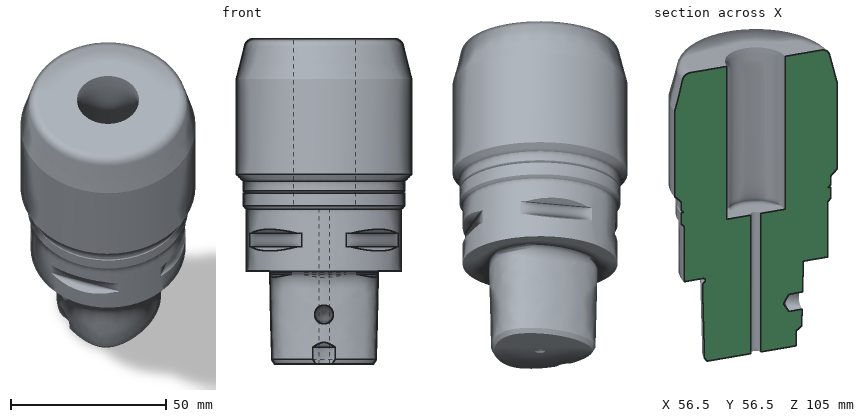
import cadquery as cq
import math

total_height = 105.0
flange_bottom = 30.0
flange_top = 50.0

flange_radius = 25.0
ring_radius = 26.0
nut_radius = 28.25

ring_top = 55.1
nut_collar_bevel = 0.8
nut_shoulder_bottom = 59.0
nose_bottom = 92.0
nose_half_angle = 14.0
nose_fillet = 3.0

clamping_bore_diameter = 20.0
clamping_bore_depth = 55.0
coolant_hole_diameter = 3.3

slot_count = 4
slot_first_angle = 45.0
slot_center_height = 40.0
slot_floor_height = 4.4
slot_mouth_height = 7.0
slot_floor_distance = 22.0
slot_bevel_angle = 30.0

shank_radius = 17.5
lobe_eccentricity = 1.05
shank_straight_bottom = 27.1
shank_taper_per_side = 1 / 40
shank_chamfer_height = 1.5
shank_chamfer_width = 0.9
outline_point_count = 48
flat_side_angle = -90.0

relief_radius = 17.6
relief_floor_bottom = 29.0
relief_floor_top = 29.6

side_hole_diameter = 6.0
side_hole_height = 16.0
side_hole_depth = 5.0

key_radius = 4.9
key_height = 5.4
key_axis_offset = 3.0
key_tip_half_angle = 50.0
drill_tip_half_angle = 59.0

flat_side_distance = shank_radius - lobe_eccentricity


def turned(profile, seam_angle):
    """Solid of revolution about Z from (radius, height) points, starting at seam_angle."""
    solid = cq.Workplane("XZ").polyline(profile).close().revolve(360, (0, 0), (0, 1))
    return solid.rotate((0, 0, 0), (0, 0, 1), seam_angle)


def make_flange():
    return turned(
        [(0, flange_bottom), (flange_radius, flange_bottom), (flange_radius, flange_top), (0, flange_top)],
        180,
    )


def make_nut():
    """Ring and nut above the flange, with a conical nose rounded at its rim."""
    ring_bevel = ring_radius - flange_radius
    shoulder = nut_radius - ring_radius
    nose_radius = nut_radius - (total_height - nose_bottom) * math.tan(math.radians(nose_half_angle))
    profile = [
        (0, flange_top),
        (flange_radius, flange_top),
        (ring_radius, flange_top + ring_bevel),
        (ring_radius, ring_top),
        (ring_radius - nut_collar_bevel, ring_top),
        (ring_radius, ring_top + nut_collar_bevel),
        (ring_radius, nut_shoulder_bottom),
        (nut_radius, nut_shoulder_bottom + shoulder),
        (nut_radius, nose_bottom),
        (nose_radius, total_height),
        (0, total_height),
    ]
    return turned(profile, flat_side_angle).faces(">Z").edges().fillet(nose_fillet)


def lobed_outline(radius, height):
    """Closed three-lobed wire of constant width 2 * radius at the given height."""
    points = []
    for i in range(outline_point_count):
        angle = math.radians(flat_side_angle) + 2 * math.pi * i / outline_point_count
        support = radius - lobe_eccentricity * math.sin(3 * angle)
        slope = -3 * lobe_eccentricity * math.cos(3 * angle)
        x = support * math.cos(angle) - slope * math.sin(angle)
        y = support * math.sin(angle) + slope * math.cos(angle)
        points.append(cq.Vector(x, y, height))
    return cq.Wire.assembleEdges([cq.Edge.makeSpline(points, periodic=True)])


def lobed_section(bottom_radius, bottom, top_radius, top):
    outlines = [lobed_outline(bottom_radius, bottom), lobed_outline(top_radius, top)]
    return cq.Workplane(cq.Solid.makeLoft(outlines, True))


def make_shank():
    taper_height = shank_straight_bottom - shank_chamfer_height
    chamfer_top_radius = shank_radius - taper_height * shank_taper_per_side
    end_radius = chamfer_top_radius - shank_chamfer_width
    chamfer = lobed_section(end_radius, 0, chamfer_top_radius, shank_chamfer_height)
    taper = lobed_section(chamfer_top_radius, shank_chamfer_height, shank_radius, shank_straight_bottom)
    neck = lobed_section(shank_radius, shank_straight_bottom, shank_radius, flange_bottom)
    return chamfer.union(taper).union(neck)


def relief_groove():
    outer_radius = shank_radius + 2 * lobe_eccentricity
    top_bevel = flange_bottom - relief_floor_top
    bottom_bevel = outer_radius - relief_radius
    profile = [
        (outer_radius, relief_floor_bottom - bottom_bevel),
        (relief_radius, relief_floor_bottom),
        (relief_radius, relief_floor_top),
        (relief_radius + top_bevel, flange_bottom),
        (outer_radius, flange_bottom),
    ]
    return turned(profile, flat_side_angle)


def spanner_slot(angle):
    """Flat-floored slot with straight walls whose outer stretches flare at the bevel angle."""
    half_floor = slot_floor_height / 2
    half_mouth = slot_mouth_height / 2
    bevel_depth = (half_mouth - half_floor) / math.tan(math.radians(slot_bevel_angle))
    bevel_start = flange_radius - bevel_depth
    half_profile = [
        (slot_floor_distance, half_floor),
        (bevel_start, half_floor),
        (flange_radius, half_mouth),
    ]
    upper = [(distance, slot_center_height + half) for distance, half in half_profile]
    lower = [(distance, slot_center_height - half) for distance, half in reversed(half_profile)]
    slot = cq.Workplane("XZ").polyline(upper + lower).close().extrude(flange_radius, both=True)
    return slot.rotate((0, 0, 0), (0, 0, 1), angle)


def pointed_cutter(radius, length, tip_half_angle):
    """Drill-shaped cutter along +Z: a cylinder of the given length, then a conical tip."""
    tip_length = radius / math.tan(math.radians(tip_half_angle))
    return turned([(0, 0), (radius, 0), (radius, length), (0, length + tip_length)], flat_side_angle)


def side_hole():
    start = shank_radius + lobe_eccentricity
    length = start - flat_side_distance + side_hole_depth
    cutter = pointed_cutter(side_hole_diameter / 2, length, drill_tip_half_angle)
    cutter = cutter.rotate((0, 0, 0), (1, 0, 0), -90)
    return cutter.translate((0, -start, side_hole_height))


def key_groove():
    cutter = pointed_cutter(key_radius, key_height, key_tip_half_angle)
    groove_face = flat_side_distance - (shank_straight_bottom - key_height) * shank_taper_per_side
    return cutter.translate((0, -groove_face - key_axis_offset, 0))


def clamping_bore():
    bore = cq.Workplane("XY").workplane(offset=total_height - clamping_bore_depth)
    return bore.circle(clamping_bore_diameter / 2).extrude(clamping_bore_depth)


def coolant_hole():
    return cq.Workplane("XY").circle(coolant_hole_diameter / 2).extrude(total_height)


shank = make_shank().cut(relief_groove()).cut(side_hole()).cut(key_groove())

flange = make_flange()
for slot_index in range(slot_count):
    flange = flange.cut(spanner_slot(slot_first_angle + slot_index * 360 / slot_count))

result = shank.union(flange).union(make_nut()).cut(clamping_bore()).cut(coolant_hole())